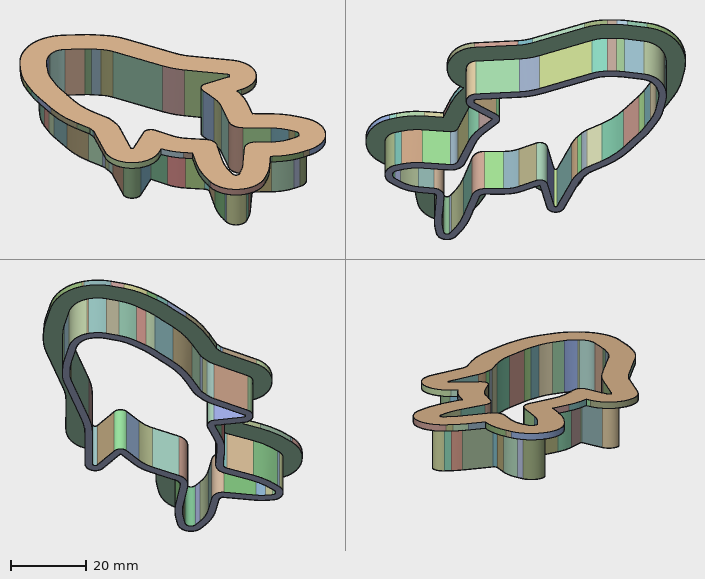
import cadquery as cq
import math

wall_height = 12.7
flange_thickness = 1.778

wall_thickness = 2.032
flange_overhang = 5.08
flange_width = wall_thickness + flange_overhang

upper_nose_and_back = [
    (-39.04, 1.11, 4.81),
    (-32.56, 7.37, 11.4),
    (-28.37, 10.3, 8.8),
    (-9.02, 14.65, 19.74),
]
upper_fin = [
    (5.36, 23.19, 0.73),
    (1.51, 12.3, 2.19),
    (11.06, 10.35, 11.14),
]
tail = [
    (21.85, 2.92, 3.99),
    (31.76, 11.26, 13.01),
    (38.89, 13.68, 1.61),
    (36.47, 6.34, 9.94),
    (29.23, -0.16, 3.02),
    (37.06, -10.12, 10.76),
    (39.21, -14.78, 0.9),
    (33.27, -12.96, 18.65),
    (22.52, -4.53, 3.5),
]
lower_fin = [
    (14.46, -10.13, 9.55),
    (4.71, -11.76, 2.08),
    (9.2, -22.9, 0.41),
    (-1.62, -15.96, 9.57),
]
belly_and_lower_nose = [
    (-5.57, -14.93, 5.44),
    (-14.99, -15.59, 21.09),
    (-26.29, -12.15, 16.72),
    (-32.26, -9.27, 13.24),
    (-37.65, -3.88, 7.16),
]
fish_corners = upper_nose_and_back + upper_fin + tail + lower_fin + belly_and_lower_nose


def corner_arc(before, corner, after):
    """Start, middle and end of the arc that rounds a corner between its two neighbours."""
    x, y, radius = corner
    point = cq.Vector(x, y)
    to_before = (cq.Vector(*before[:2]) - point).normalized()
    to_after = (cq.Vector(*after[:2]) - point).normalized()
    half_angle = to_before.getAngle(to_after) / 2
    tangent_length = radius / math.tan(half_angle)
    middle_distance = radius / math.sin(half_angle) - radius
    bisector = (to_before + to_after).normalized()
    start = point + to_before * tangent_length
    middle = point + bisector * middle_distance
    end = point + to_after * tangent_length
    return start, middle, end


def rounded_outline(corners):
    """Closed wire of straight sides joined by tangent corner arcs."""
    count = len(corners)
    arcs = [corner_arc(corners[i - 1], corners[i], corners[(i + 1) % count]) for i in range(count)]
    edges = []
    for i, (start, middle, end) in enumerate(arcs):
        next_start = arcs[(i + 1) % count][0]
        edges.append(cq.Edge.makeThreePointArc(start, middle, end))
        edges.append(cq.Edge.makeLine(end, next_start))
    return cq.Wire.assembleEdges(edges)


def fish_ring(outline, width, base, height):
    """Band of constant width around the outside of the fish outline."""
    outer = outline.offset2D(width, "arc")[0]
    ring = cq.Solid.extrudeLinear(outer, [outline], cq.Vector(0, 0, height))
    return cq.Workplane(obj=ring.translate(cq.Vector(0, 0, base)))


fish_outline = rounded_outline(fish_corners)
wall = fish_ring(fish_outline, wall_thickness, 0, wall_height)
flange = fish_ring(fish_outline, flange_width, wall_height, flange_thickness)

result = wall.union(flange)